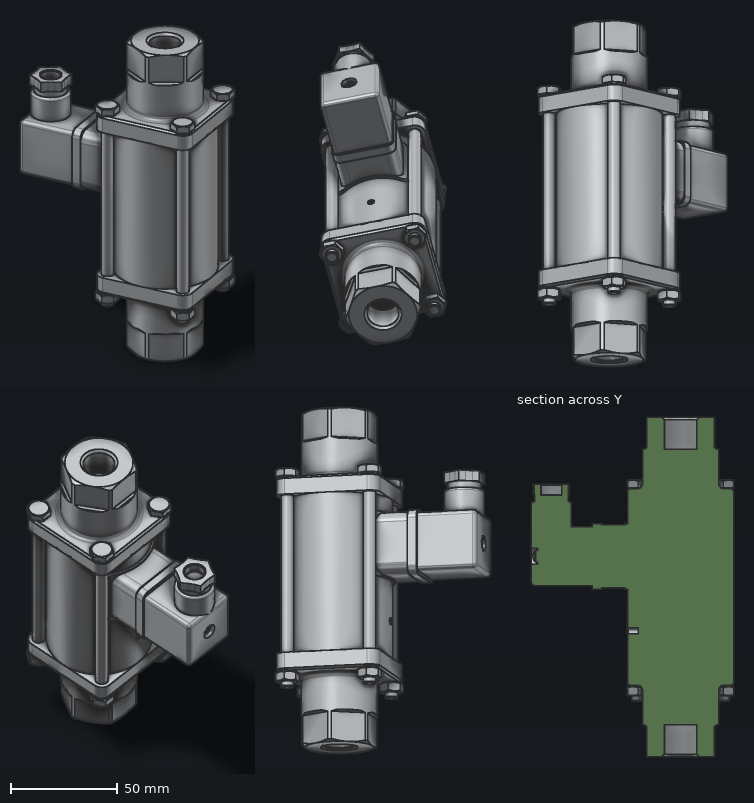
import cadquery as cq
import math

total_length = 159.5
half_length = total_length / 2

body_diameter = 50
plate_size = 50
plate_corner_radius = 5
plate_edge_chamfer = 1
plate_inner_z = 37.8
plate_outer_z = 46.3

neck_diameter = 36
neck_root_radius = 2.5
fitting_across_flats = 32
flat_length = 14.1
flat_ledge_width = 1.2
flat_ledge_drop = 0.9
end_chamfer_height = 1
end_face_diameter = 32
bore_diameter = 14.95
bore_mouth_diameter = 17.5
bore_depth = 15

rod_diameter = 6
rod_offset = 20
rod_end_z = -53.7
rod_end_chamfer = 0.5
washer_face_diameter = 8.9
washer_face_height = 0.4
bolt_across_flats = 10
bolt_head_height = 3.6
nut_height = 4.4
hex_face_diameter = 9.5
hex_chamfer_angle_deg = 30

pilot_z = -20.6
pilot_diameter = 2.5
pilot_mouth_diameter = 3.24
pilot_depth = 5

plug_z = 14.4
plug_end_x = -70.2
pad_diameter = 52.5
pad_width = 33.5
pad_height = 31
pad_corner_radius = 3
socket_size = 29.8
socket_corner_radius = 5
flange_outer_x = -41.6
flange_inner_x = -36.9
flange_width = 30
flange_height = 31
flange_corner_radius = 4
flange_edge_chamfer = 0.2
housing_width = 28.3
housing_height = 27.8
housing_edge_radius = 1.8

gland_diameter = 18.9
gland_x = plug_end_x + gland_diameter / 2
gland_top_z = 40.2
gland_edge_radius = 1.2
gland_neck_diameter = 16
gland_nut_bottom_z = 43.3
gland_nut_top_z = 48.3
gland_nut_tip_radius = 9.85
gland_nut_floor_distance = 8.2
gland_nut_floor_half_width = 1.7
gland_bore_diameter = 9.5
gland_bore_chamfer = 0.5
gland_bore_depth = gland_nut_top_z - gland_nut_bottom_z

screw_hole_diameter = 7.2
screw_hole_depth = 3
screw_head_diameter = 6
screw_head_edge_height = 0.4
screw_head_dome_height = 1.8
screw_slot_width = 0.8
screw_slot_depth = 1.2


def cylinder(diameter, z_low, z_high, x=0, y=0):
    """Upright cylinder between two heights."""
    return cq.Workplane("XY", origin=(x, y, z_low)).circle(diameter / 2).extrude(z_high - z_low)


def block_along_x(x_low, x_high, width, height, corner_radius):
    """Block on the plug axis, with its long edges rounded."""
    block = cq.Workplane("YZ", origin=(x_low, 0, plug_z)).rect(width, height).extrude(x_high - x_low)
    return block.edges("|X").fillet(corner_radius)


def make_plate():
    """Upper square end plate; its outer rim is chamfered."""
    plate = cq.Workplane("XY", origin=(0, 0, plate_inner_z)).rect(plate_size, plate_size)
    plate = plate.extrude(plate_outer_z - plate_inner_z)
    plate = plate.edges("|Z").fillet(plate_corner_radius)
    return plate.faces(">Z").chamfer(plate_edge_chamfer)


def make_fitting():
    """Upper end fitting: round neck with a filleted root, milled into a hexagon at its end."""
    neck_radius = neck_diameter / 2
    root_top_z = plate_outer_z + neck_root_radius
    fillet_middle = neck_root_radius * (1 - math.sqrt(0.5))
    profile = (
        cq.Workplane("XZ")
        .moveTo(0, plate_inner_z)
        .lineTo(neck_radius + neck_root_radius, plate_inner_z)
        .lineTo(neck_radius + neck_root_radius, plate_outer_z)
        .threePointArc(
            (neck_radius + fillet_middle, plate_outer_z + fillet_middle),
            (neck_radius, root_top_z),
        )
        .lineTo(neck_radius, half_length - end_chamfer_height)
        .lineTo(end_face_diameter / 2, half_length)
        .lineTo(0, half_length)
        .close()
    )
    fitting = profile.revolve(360, (0, 0, 0), (0, 1, 0))

    flat_x = fitting_across_flats / 2
    outside_x = neck_diameter
    flat_bottom_z = half_length - flat_length
    ledge_z = flat_bottom_z - flat_ledge_drop
    cutter = (
        cq.Workplane("XZ")
        .moveTo(flat_x, flat_bottom_z)
        .lineTo(flat_x + flat_ledge_width, ledge_z)
        .lineTo(outside_x, ledge_z)
        .lineTo(outside_x, half_length)
        .lineTo(flat_x, half_length)
        .close()
        .extrude(neck_radius, both=True)
    )
    for index in range(6):
        fitting = fitting.cut(cutter.rotate((0, 0, 0), (0, 0, 1), index * 60))
    return fitting


def make_bore():
    """Blind threaded port of the upper fitting, with a chamfered mouth."""
    mouth_depth = (bore_mouth_diameter - bore_diameter) / 2
    bore = cylinder(bore_diameter, half_length - bore_depth, half_length)
    mouth = (
        cq.Workplane("XY", origin=(0, 0, half_length))
        .circle(bore_mouth_diameter / 2)
        .workplane(offset=-mouth_depth)
        .circle(bore_diameter / 2)
        .loft(ruled=True)
    )
    return bore.union(mouth)


def make_hex(height, chamfer_bottom):
    """Hexagon with corners along Y, standing on Z = 0, its corners chamfered by a cone."""
    across_corners = bolt_across_flats / math.cos(math.radians(30))
    hexagon = cq.Workplane("XY").polygon(6, across_corners).extrude(height)
    hexagon = hexagon.rotate((0, 0, 0), (0, 0, 1), 90)
    rim_radius = across_corners / 2
    face_radius = hex_face_diameter / 2
    drop = (rim_radius - face_radius) * math.tan(math.radians(hex_chamfer_angle_deg))
    profile = cq.Workplane("XZ").moveTo(0, 0)
    if chamfer_bottom:
        profile = profile.lineTo(face_radius, 0).lineTo(rim_radius, drop)
    else:
        profile = profile.lineTo(rim_radius, 0)
    profile = profile.lineTo(rim_radius, height - drop).lineTo(face_radius, height)
    envelope = profile.lineTo(0, height).close().revolve(360, (0, 0, 0), (0, 1, 0))
    return hexagon.intersect(envelope)


def make_tie_rod():
    """Tie rod on the Z axis with its bolt head, nut and their washer faces."""
    washer_z = plate_outer_z + washer_face_height
    rod = cylinder(rod_diameter, rod_end_z, washer_z).faces("<Z").chamfer(rod_end_chamfer)
    rod = rod.union(cylinder(washer_face_diameter, plate_inner_z, washer_z))
    rod = rod.union(cylinder(washer_face_diameter, -washer_z, -plate_inner_z))
    rod = rod.union(make_hex(bolt_head_height, False).translate((0, 0, washer_z)))
    return rod.union(make_hex(nut_height, True).translate((0, 0, -washer_z - nut_height)))


def make_pilot_hole():
    """Small countersunk hole entering the body from -X."""
    mouth_depth = (pilot_mouth_diameter - pilot_diameter) / 2
    body_face = cq.Workplane("YZ", origin=(-body_diameter / 2, 0, pilot_z))
    hole = body_face.circle(pilot_diameter / 2).extrude(pilot_depth)
    mouth = (
        body_face.circle(pilot_mouth_diameter / 2)
        .workplane(offset=mouth_depth)
        .circle(pilot_diameter / 2)
        .loft(ruled=True)
    )
    return hole.union(mouth)


def make_plug():
    """Plug connector: curved pad on the body, socket, flange and housing."""
    pad = block_along_x(-pad_diameter / 2, 0, pad_width, pad_height, pad_corner_radius)
    pad = pad.intersect(cylinder(pad_diameter, -half_length, half_length))
    socket = block_along_x(flange_inner_x, 0, socket_size, socket_size, socket_corner_radius)
    flange = block_along_x(flange_outer_x, flange_inner_x, flange_width, flange_height, flange_corner_radius)
    flange = flange.faces("<X or >X").chamfer(flange_edge_chamfer)
    housing = block_along_x(plug_end_x, flange_outer_x, housing_width, housing_height, housing_edge_radius)
    housing = housing.faces("<X").edges().fillet(housing_edge_radius)
    return pad.union(socket).union(flange).union(housing)


def gland_nut_outline():
    """Six tips joined by shallow notches with flat floors."""
    points = []
    for index in range(6):
        floor_angle = math.radians(60 * index)
        tip_angle = floor_angle + math.radians(30)
        for side in (-gland_nut_floor_half_width, gland_nut_floor_half_width):
            x = gland_nut_floor_distance * math.cos(floor_angle) - side * math.sin(floor_angle)
            y = gland_nut_floor_distance * math.sin(floor_angle) + side * math.cos(floor_angle)
            points.append((x, y))
        tip_x = gland_nut_tip_radius * math.cos(tip_angle)
        tip_y = gland_nut_tip_radius * math.sin(tip_angle)
        points.append((tip_x, tip_y))
    return points


def make_gland():
    """Cable gland: round base, neck and notched nut with a cable bore."""
    base_bottom_z = plug_z + housing_height / 2 - housing_edge_radius
    base = cylinder(gland_diameter, base_bottom_z, gland_top_z, gland_x)
    base = base.faces(">Z").edges().fillet(gland_edge_radius)
    neck = cylinder(gland_neck_diameter, base_bottom_z, gland_nut_bottom_z, gland_x)
    nut = cq.Workplane("XY", origin=(gland_x, 0, gland_nut_bottom_z)).polyline(gland_nut_outline()).close()
    nut = nut.extrude(gland_nut_top_z - gland_nut_bottom_z)
    bore = cylinder(gland_bore_diameter, gland_nut_top_z - gland_bore_depth, gland_nut_top_z, gland_x)
    gland = base.union(neck).union(nut).cut(bore)
    return gland.faces(">Z").edges("%CIRCLE").chamfer(gland_bore_chamfer)


def make_screw_hole():
    """Round recess in the outer face of the plug."""
    plug_face = cq.Workplane("YZ", origin=(plug_end_x, 0, plug_z))
    return plug_face.circle(screw_hole_diameter / 2).extrude(screw_hole_depth)


def make_screw():
    """Domed, cross-slotted screw head standing on the floor of its recess."""
    radius = screw_head_diameter / 2
    dome_radius = (radius**2 + screw_head_dome_height**2) / (2 * screw_head_dome_height)
    floor_x = plug_end_x + screw_hole_depth
    edge_x = floor_x - screw_head_edge_height
    top_x = edge_x - screw_head_dome_height
    head = cq.Workplane("YZ", origin=(top_x, 0, plug_z)).circle(radius).extrude(floor_x - top_x)
    dome = cq.Workplane("XY", origin=(top_x + dome_radius, 0, plug_z)).sphere(dome_radius)
    head = head.intersect(dome)
    slot_plane = cq.Workplane("YZ", origin=(top_x, 0, plug_z))
    for width, height in ((screw_head_diameter, screw_slot_width), (screw_slot_width, screw_head_diameter)):
        head = head.cut(slot_plane.rect(width, height).extrude(screw_slot_depth))
    return head


plate = make_plate()
fitting = make_fitting().cut(make_bore())
upper_end = plate.union(fitting)

result = cylinder(body_diameter, -plate_inner_z, plate_inner_z)
result = result.union(upper_end).union(upper_end.mirror("XY"))
result = result.union(make_plug()).union(make_gland())
tie_rod = make_tie_rod()
for rod_x in (-rod_offset, rod_offset):
    for rod_y in (-rod_offset, rod_offset):
        result = result.union(tie_rod.translate((rod_x, rod_y, 0)))
result = result.cut(make_pilot_hole()).cut(make_screw_hole()).union(make_screw())